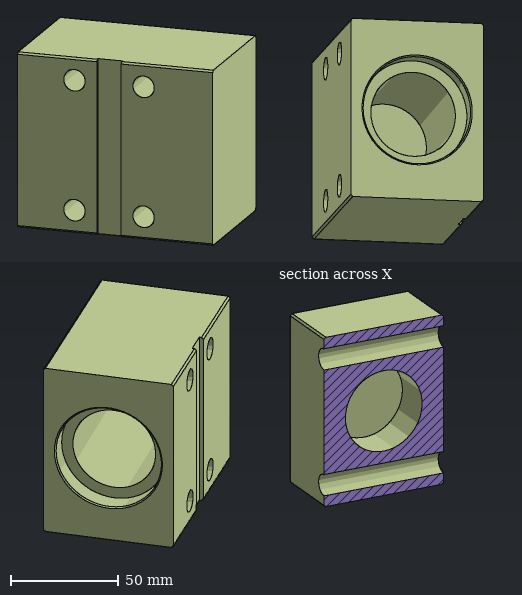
import cadquery as cq

length = 96.0
width = 63.0
height = 85.0
edge_chamfer = 1.0

bore_diameter = 40.0
bore_end_wall = 14.4
recess_diameter = 51.0
recess_depth = 10.0
recess_chamfer = 0.7

bolt_group_x = 45.0
bolt_diameter = 10.5
bolt_spacing_x = 34.0
bolt_spacing_z = 63.0
groove_width = 12.0
groove_depth = 2.0


def make_block():
    """Block with its -X end at X = 0, centred on Y and Z, long edges chamfered."""
    block = cq.Workplane("XY").box(length, width, height, centered=(False, True, True))
    return block.edges("|X").chamfer(edge_chamfer)


def make_bore():
    """Cutter for the bore, its entry recess and the recess lead-in, revolved about X."""
    bore_radius = bore_diameter / 2
    recess_radius = recess_diameter / 2
    bore_end = length - bore_end_wall
    return (
        cq.Workplane("XY")
        .moveTo(0, 0)
        .lineTo(0, recess_radius + recess_chamfer)
        .lineTo(recess_chamfer, recess_radius)
        .lineTo(recess_depth, recess_radius)
        .lineTo(recess_depth, bore_radius)
        .lineTo(bore_end, bore_radius)
        .lineTo(bore_end, 0)
        .close()
        .revolve(360, (0, 0, 0), (1, 0, 0))
    )


def make_bolt_holes():
    """Cutters for the four bolt holes running through the block along Y."""
    return (
        cq.Workplane("XZ")
        .center(bolt_group_x, 0)
        .rect(bolt_spacing_x, bolt_spacing_z, forConstruction=True)
        .vertices()
        .circle(bolt_diameter / 2)
        .extrude(width / 2, both=True)
    )


def make_key_groove():
    """Cutter for the shallow groove along Z in the -Y face."""
    groove = cq.Workplane("XY").box(groove_width, 2 * groove_depth, height)
    return groove.translate((bolt_group_x, -width / 2, 0))


result = make_block().cut(make_bore()).cut(make_bolt_holes()).cut(make_key_groove())